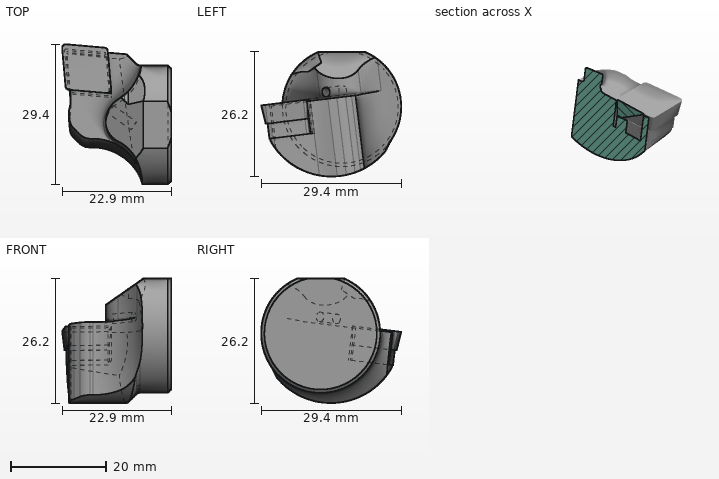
import cadquery as cq
import math


REACH = 40.0
CLEARANCE = 1.0
ORIGIN = (0, 0, 0)
X_AXIS = (1, 0, 0)

DISC_RADIUS = 12.5
REAR_CHAMFER_LENGTH = 0.8
REAR_CHAMFER_DEPTH = 0.7
FLARE_X = -7.05
FLARE_FILLET = 1.0
FLARE_ANGLE = 45.0
FLAT_Z = 11.5

HEAD_TILT = -7.0
HEAD_RADIUS = 14.65
HEAD_CENTER_Y = HEAD_RADIUS - DISC_RADIUS
HEAD_FLOOR_Z = 2.02
FRONT_X = -21.48
FLANK_START_Y = 6.45
HOLLOW_END_Y = 2.72
SHOULDER_Y = -3.15
BEVEL_CORNER_Y = -0.25
NOSE_RADIUS = 3.0
GULLET_START_X = -16.48
GULLET_RADIUS = 10.5
FLANK_CORNER_RADIUS = 0.7

BOSS_CENTER_X = -8.76
BOSS_RADIUS = 5.0
BOSS_SIDE_RADIUS = 10.0
BOSS_JOIN_ANGLE = 60.0
BOSS_BASE_FILLET = 0.5

SLOPE_ANGLE = 35.0
SLOPE_TOP_X = -5.84
NOTCH_TURN = 35.0
NOTCH_FLOOR = 10.02
NOTCH_STEP_X = -9.08

COOLANT_DIAMETER = 2.0
COOLANT_DEPTH = 6.0
COOLANT_Z = 3.44
COOLANT_ANGLE = 36.0

INSERT_ANGLE = 80.0
INSERT_CIRCLE = 9.525
INSERT_THICKNESS = 3.97
INSERT_RELIEF = 7.0
INSERT_CORNER_RADIUS = 0.8
INSERT_TOP_Z = 2.36
INSERT_MIN_X = -22.92
INSERT_MAX_Y = 16.75
LEAD_ANGLE = 5.0
SHIM_THICKNESS = 3.18
SHIM_FRONT_INSET = 0.8
SHIM_BACK_INSET = 0.37
SHIM_CORNER_RADIUS = 0.6
POCKET_LIP_RADIUS = 0.3
FLANK_INSET = 0.95

LEAD = math.radians(LEAD_ANGLE)
HALF_ANGLE = math.radians(INSERT_ANGLE / 2)
DIAGONAL = math.radians(-45)
INSERT_BOTTOM_Z = INSERT_TOP_Z - INSERT_THICKNESS
POCKET_INSET = (INSERT_TOP_Z - HEAD_FLOOR_Z) * math.tan(math.radians(INSERT_RELIEF))
POCKET_FLOOR_Z = INSERT_BOTTOM_Z - SHIM_THICKNESS


def to_world(shape):
    return shape.rotate(ORIGIN, X_AXIS, HEAD_TILT)


def along_diagonal(start, length):
    """Point moved along the insert's diagonal, away from its cutting corner."""
    return (start[0] + length * math.cos(DIAGONAL), start[1] + length * math.sin(DIAGONAL))


INSERT_CENTER = along_diagonal(
    (INSERT_MIN_X + INSERT_CORNER_RADIUS, INSERT_MAX_Y - INSERT_CORNER_RADIUS),
    (INSERT_CIRCLE / 2 - INSERT_CORNER_RADIUS) / math.sin(HALF_ANGLE),
)


def rhombus(center, circle, z, corner_radius=0):
    """Rhombus around an inscribed circle, with its acute corners on the diagonal."""
    long_half = circle / 2 / math.sin(HALF_ANGLE)
    short_half = circle / 2 / math.cos(HALF_ANGLE)
    corners = [(long_half, 0), (0, short_half), (-long_half, 0), (0, -short_half)]
    outline = cq.Sketch().polygon([*corners, corners[0]])
    if corner_radius:
        outline = outline.vertices().fillet(corner_radius)
    plane = cq.Workplane("XY", origin=(center[0], center[1], z))
    return plane.transformed(rotate=(0, 0, math.degrees(DIAGONAL))).placeSketch(outline)


def insert_edge_y(x, inset):
    """Y of the insert's +Y cutting edge, moved inward by an inset."""
    return INSERT_CENTER[1] + (INSERT_CIRCLE / 2 - inset) / math.cos(LEAD) \
        - (x - INSERT_CENTER[0]) * math.tan(LEAD)


def insert_edge_x(y, inset):
    """X of the insert's front cutting edge, moved inward by an inset."""
    return INSERT_CENTER[0] - (INSERT_CIRCLE / 2 - inset) / math.cos(LEAD) \
        - (y - INSERT_CENTER[1]) * math.tan(LEAD)


def make_blank():
    bar = cq.Workplane("YZ").circle(DISC_RADIUS).extrude(-REACH)
    chamfer_profile = (
        cq.Workplane("XY")
        .polyline([
            (-REAR_CHAMFER_LENGTH, DISC_RADIUS),
            (0, DISC_RADIUS - REAR_CHAMFER_DEPTH),
            (0, DISC_RADIUS),
        ])
        .close()
    )
    bar = bar.cut(chamfer_profile.revolve(360, ORIGIN, X_AXIS))

    tangent = FLARE_FILLET * math.tan(math.radians(FLARE_ANGLE / 2))
    slope = math.radians(FLARE_ANGLE)
    cone_start = (FLARE_X - tangent * math.cos(slope), DISC_RADIUS + tangent * math.sin(slope))
    cone_rise = DISC_RADIUS * math.tan(slope)
    flare = (
        cq.Workplane("XY")
        .moveTo(-REAR_CHAMFER_LENGTH, 0)
        .lineTo(-REAR_CHAMFER_LENGTH, DISC_RADIUS)
        .lineTo(FLARE_X + tangent, DISC_RADIUS)
        .tangentArcPoint(cone_start, relative=False)
        .lineTo(FLARE_X - DISC_RADIUS, DISC_RADIUS + cone_rise)
        .lineTo(-REACH, DISC_RADIUS + cone_rise)
        .lineTo(-REACH, 0)
        .close()
        .revolve(360, ORIGIN, X_AXIS)
    )
    head_bar = (
        cq.Workplane("YZ").center(HEAD_CENTER_Y, 0).circle(HEAD_RADIUS).extrude(-REACH)
    )
    below_floor = (
        cq.Workplane("XY", origin=(0, 0, HEAD_FLOOR_Z)).rect(2 * REACH, 2 * REACH).extrude(-REACH)
    )
    return bar.union(flare.intersect(head_bar).intersect(to_world(below_floor)))


def make_head_outline():
    """Everything inside the head's side walls, in the head frame."""
    bevel_corner_x = FRONT_X + (HOLLOW_END_Y - BEVEL_CORNER_Y) * math.tan(LEAD)
    bevel_end_x = bevel_corner_x + BEVEL_CORNER_Y - SHOULDER_Y
    gullet_end = (GULLET_START_X + GULLET_RADIUS, SHOULDER_Y - GULLET_RADIUS)
    gullet_middle = (
        GULLET_START_X + GULLET_RADIUS * math.sqrt(0.5),
        SHOULDER_Y - GULLET_RADIUS * (1 - math.sqrt(0.5)),
    )
    long_half = (INSERT_CIRCLE / 2 - FLANK_INSET) / math.sin(HALF_ANGLE)
    flank_corner = along_diagonal(INSERT_CENTER, -long_half)
    lip_x = insert_edge_x(FLANK_START_Y, FLANK_INSET)
    outline = (
        cq.Workplane("XY", origin=(0, 0, -REACH))
        .moveTo(*flank_corner)
        .lineTo(lip_x, FLANK_START_Y)
        .tangentArcPoint((FRONT_X, HOLLOW_END_Y), relative=False)
        .lineTo(bevel_corner_x, BEVEL_CORNER_Y)
        .lineTo(bevel_end_x, SHOULDER_Y)
        .lineTo(GULLET_START_X, SHOULDER_Y)
        .threePointArc(gullet_middle, gullet_end)
        .lineTo(gullet_end[0], -REACH)
        .lineTo(0, -REACH)
        .lineTo(0, insert_edge_y(0, FLANK_INSET))
        .close()
        .extrude(2 * REACH)
    )
    for corner, radius in [
        (flank_corner, FLANK_CORNER_RADIUS),
        ((bevel_corner_x, BEVEL_CORNER_Y), NOSE_RADIUS),
        ((bevel_end_x, SHOULDER_Y), NOSE_RADIUS),
    ]:
        corner_edge = cq.selectors.NearestToPointSelector((*corner, 0))
        outline = outline.edges(corner_edge).fillet(radius)
    outline = outline.cut(make_pocket())

    wall_y = insert_edge_y(lip_x, INSERT_CIRCLE - POCKET_INSET)
    lip_edge = cq.selectors.NearestToPointSelector((lip_x, wall_y, (POCKET_FLOOR_Z + REACH) / 2))
    return outline.edges(lip_edge).fillet(POCKET_LIP_RADIUS)


def make_step_cut():
    """Space above the head floor and in front of the boss, in the head frame."""
    join = math.radians(BOSS_JOIN_ANGLE)
    side_center_x = BOSS_CENTER_X - (BOSS_RADIUS + BOSS_SIDE_RADIUS) * math.cos(join)
    side_center_y = (BOSS_RADIUS + BOSS_SIDE_RADIUS) * math.sin(join)
    side_end_x = side_center_x + BOSS_SIDE_RADIUS
    join_x = BOSS_CENTER_X - BOSS_RADIUS * math.cos(join)
    join_y = BOSS_RADIUS * math.sin(join)
    region = (
        cq.Workplane("XY", origin=(0, 0, HEAD_FLOOR_Z))
        .moveTo(-REACH, -REACH)
        .lineTo(side_end_x, -REACH)
        .lineTo(side_end_x, -side_center_y)
        .radiusArc((join_x, -join_y), -BOSS_SIDE_RADIUS)
        .threePointArc((BOSS_CENTER_X - BOSS_RADIUS, 0), (join_x, join_y))
        .radiusArc((side_end_x, side_center_y), -BOSS_SIDE_RADIUS)
        .lineTo(side_end_x, REACH)
        .lineTo(-REACH, REACH)
        .close()
        .extrude(REACH)
    )
    return region.faces("<Z").edges("%CIRCLE").fillet(BOSS_BASE_FILLET)


def make_slope_cut(corner_x, corner_z, front_x):
    """Space above a slope that rises toward +X, level in front of and behind it."""
    drop = (corner_x - front_x) * math.tan(math.radians(SLOPE_ANGLE))
    return (
        cq.Workplane("XZ", origin=(0, REACH, 0))
        .polyline([
            (CLEARANCE, corner_z), (corner_x, corner_z), (front_x, corner_z - drop),
            (-REACH, corner_z - drop), (-REACH, REACH), (CLEARANCE, REACH),
        ])
        .close()
        .extrude(2 * REACH)
    )


def make_notch_cut():
    rise = -NOTCH_STEP_X * math.tan(math.radians(SLOPE_ANGLE))
    cut = make_slope_cut(0, NOTCH_FLOOR + rise, NOTCH_STEP_X)
    return cut.rotate(ORIGIN, X_AXIS, -NOTCH_TURN)


def make_coolant_hole():
    angle = math.radians(COOLANT_ANGLE)
    direction = cq.Vector(math.cos(angle), -math.sin(angle), 0)
    mouth = cq.Vector(BOSS_CENTER_X, 0, COOLANT_Z) - direction * BOSS_RADIUS
    start = mouth - direction * CLEARANCE
    length = COOLANT_DEPTH + CLEARANCE
    return cq.Workplane(cq.Solid.makeCylinder(COOLANT_DIAMETER / 2, length, start, direction))


def make_pocket():
    """Seat for shim and insert, open toward the cutting corner."""
    growth = INSERT_CIRCLE
    growth_shift = (growth / 2 + POCKET_INSET) / math.sin(HALF_ANGLE)
    center = along_diagonal(INSERT_CENTER, -growth_shift)
    return rhombus(center, INSERT_CIRCLE + growth, POCKET_FLOOR_Z).extrude(REACH)


def make_shim():
    shift = (SHIM_FRONT_INSET - SHIM_BACK_INSET) / 2 / math.sin(HALF_ANGLE)
    center = along_diagonal(INSERT_CENTER, shift)
    circle = INSERT_CIRCLE - SHIM_FRONT_INSET - SHIM_BACK_INSET
    return rhombus(center, circle, POCKET_FLOOR_Z, SHIM_CORNER_RADIUS).extrude(SHIM_THICKNESS)


def make_holder():
    holder = make_blank().intersect(to_world(make_head_outline()))
    holder = holder.cut(to_world(make_step_cut()))
    holder = holder.cut(make_slope_cut(SLOPE_TOP_X, FLAT_Z, BOSS_CENTER_X - BOSS_RADIUS))
    holder = holder.cut(make_notch_cut())
    holder = holder.cut(to_world(make_coolant_hole()))
    return holder.union(to_world(make_shim()))


def make_insert():
    outline = rhombus(INSERT_CENTER, INSERT_CIRCLE, INSERT_TOP_Z, INSERT_CORNER_RADIUS)
    return to_world(outline.extrude(-INSERT_THICKNESS, taper=INSERT_RELIEF))


holder = make_holder()
insert = make_insert()
result = cq.Compound.makeCompound([holder.val(), insert.val()])